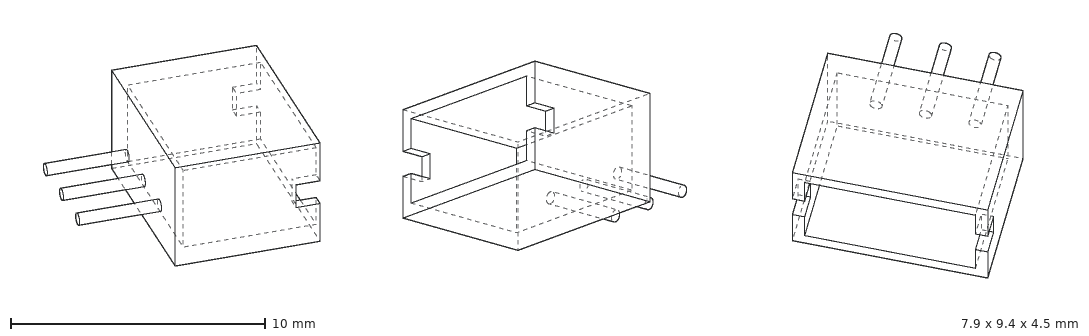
import cadquery as cq

body_width = 7.9
total_length = 9.4
body_height = 4.5

pin_length = 3.39
pin_diameter = 0.5
pin_pitch = 2.0
pin_count = 3
pin_height = 1.69

wall = 0.5

slot_depth = 1.0
slot_height = 1.03

body_length = total_length - pin_length


def make_body():
    """Block with its front face on Y = 0 and its underside on Z = 0."""
    return cq.Workplane("XY").box(
        body_width, body_length, body_height, centered=(True, False, False)
    )


def make_cavity():
    """Cutter for the cavity, entering from the rear face."""
    return (
        cq.Workplane("XY")
        .box(
            body_width - 2 * wall,
            body_length - wall,
            body_height - 2 * wall,
            centered=(True, False, False),
        )
        .translate((0, wall, wall))
    )


def make_slot():
    """Cutter that notches both end walls at mid height of the rear edge."""
    return (
        cq.Workplane("XY")
        .box(body_width, slot_depth, slot_height, centered=(True, False, True))
        .translate((0, body_length - slot_depth, body_height / 2))
    )


def make_pins():
    """Row of round pins pointing toward -Y from the front face."""
    first_pin_x = -pin_pitch * (pin_count - 1) / 2
    pin_centers = [(first_pin_x + i * pin_pitch, pin_height) for i in range(pin_count)]
    return (
        cq.Workplane("XZ")
        .pushPoints(pin_centers)
        .circle(pin_diameter / 2)
        .extrude(pin_length)
    )


result = make_body().cut(make_cavity()).cut(make_slot()).union(make_pins())